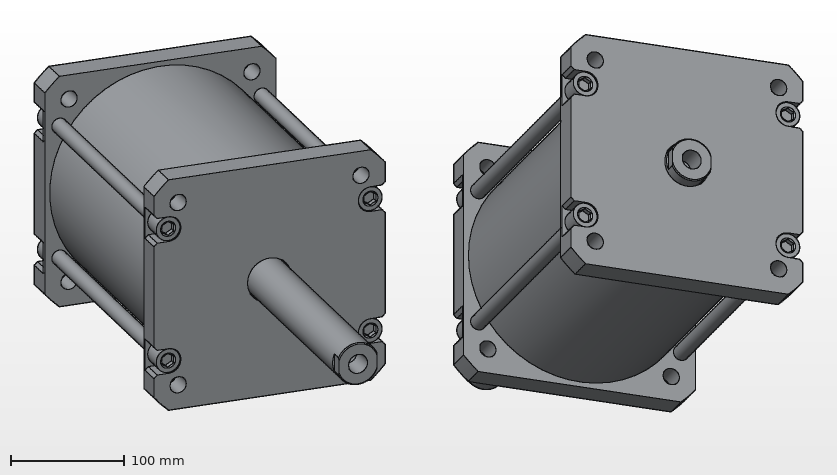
import cadquery as cq
import math

shaft_length = 511.5
left_plate_start = 12.0
left_plate_thickness = 25.5
body_length = 237.5
right_plate_thickness = 24.5
left_plate_end = left_plate_start + left_plate_thickness
right_plate_start = left_plate_end + body_length
right_plate_end = right_plate_start + right_plate_thickness

body_diameter = 210.5
plate_size = 220.0
plate_flat_half = 96.0
plate_turned_diameter = 2 * math.hypot(plate_size / 2, plate_flat_half)
mount_hole_diameter = 15.5
mount_hole_offset = 87.0

rod_diameter = 14.5
rod_y = 96.0
rod_z = 63.0
head_diameter = 22.5
slot_depth = 21.5
head_recess = 1.0
socket_across_flats = 11.0
socket_rim_diameter = 14.5
socket_rim_depth = 1.0
socket_depth = 6.0
slot_width = 23.5
slot_mouth_chamfer = 3.0

shaft_diameter = 40.0
shaft_chamfer = 1.0
plate_bore_diameter = 42.0
flat_spacing = 36.5
short_flat_length = 10.0
long_flat_length = 10.5
end_hole_diameter = 18.0
end_hole_depth = 25.5
drill_point_angle = 118.0

rod_centers = [(y, z) for y in (-rod_y, rod_y) for z in (-rod_z, rod_z)]
mount_centers = [(y, z) for y in (-mount_hole_offset, mount_hole_offset)
                 for z in (-mount_hole_offset, mount_hole_offset)]


def section_at(x):
    """Workplane across the shaft axis: local x is +Y, local y is +Z, normal is +X."""
    return cq.Workplane("YZ", origin=(x, 0, 0))


def rod_slot(start, y, z):
    """Round-ended slot for a rod head, open to the nearest plate side with a chamfered mouth."""
    side = math.copysign(1, y)
    half = slot_width / 2
    edge = side * plate_size / 2
    throat = edge - side * slot_mouth_chamfer
    mouth_half = half + slot_mouth_chamfer
    return (
        section_at(start)
        .moveTo(y, z + half)
        .lineTo(throat, z + half)
        .lineTo(edge, z + mouth_half)
        .lineTo(edge, z - mouth_half)
        .lineTo(throat, z - half)
        .lineTo(y, z - half)
        .threePointArc((y - side * half, z), (y, z + half))
        .close()
        .extrude(slot_depth)
    )


def make_plate(start, thickness, slot_start):
    """Square end plate with turned corners, rod slots, mounting holes and a shaft bore."""
    plate = section_at(start).rect(plate_size, plate_size).extrude(thickness)
    plate = plate.intersect(section_at(start).circle(plate_turned_diameter / 2).extrude(thickness))
    for holes, diameter in (
        (mount_centers, mount_hole_diameter),
        (rod_centers, rod_diameter),
        ([(0, 0)], plate_bore_diameter),
    ):
        plate = plate.cut(section_at(start).pushPoints(holes).circle(diameter / 2).extrude(thickness))
    for y, z in rod_centers:
        plate = plate.cut(rod_slot(slot_start, y, z))
    return plate


def make_body():
    """Cylinder between the plates, bored for the shaft."""
    return (
        section_at(left_plate_end)
        .circle(body_diameter / 2)
        .circle(shaft_diameter / 2)
        .extrude(body_length)
    )


def make_tie_rod(y, z):
    """Rod through both plates with a hex-socket head sunk into the slot at each end."""
    rod_start = left_plate_start + head_recess
    rod_end = right_plate_end - head_recess
    head_length = slot_depth - head_recess
    center = [(y, z)]
    rod = section_at(rod_start).pushPoints(center).circle(rod_diameter / 2).extrude(rod_end - rod_start)
    for end, inward in ((rod_start, 1), (rod_end, -1)):
        face = section_at(end).pushPoints(center)
        head = face.circle(head_diameter / 2).extrude(inward * head_length)
        socket = face.polygon(6, socket_across_flats, circumscribed=True).extrude(inward * socket_depth)
        countersink = cq.Solid.makeCone(
            socket_rim_diameter / 2,
            socket_across_flats / 2,
            socket_rim_depth,
            cq.Vector(end, y, z),
            cq.Vector(inward, 0, 0),
        )
        rod = rod.union(head).cut(socket).cut(countersink)
    return rod


def end_hole():
    """Blind drilled hole with a conical bottom, entering the shaft at X = 0."""
    radius = end_hole_diameter / 2
    point_depth = radius / math.tan(math.radians(drill_point_angle / 2))
    return (
        cq.Workplane("XY")
        .polyline([(0, 0), (end_hole_depth + point_depth, 0), (end_hole_depth, radius), (0, radius)])
        .close()
        .revolve(360, (0, 0, 0), (1, 0, 0))
    )


def flats_cutter(start, length):
    """Two blocks that leave a pair of flats facing -Y and +Y on the shaft."""
    return (
        section_at(start)
        .pushPoints([(-flat_spacing, 0), (flat_spacing, 0)])
        .rect(flat_spacing, shaft_diameter)
        .extrude(length)
    )


def make_shaft():
    """Through shaft, chamfered, flatted and drilled at both ends."""
    left_hole = end_hole()
    right_hole = left_hole.mirror("YZ").translate((shaft_length, 0, 0))
    return (
        section_at(0)
        .circle(shaft_diameter / 2)
        .extrude(shaft_length)
        .faces("<X or >X")
        .chamfer(shaft_chamfer)
        .cut(flats_cutter(0, short_flat_length))
        .cut(flats_cutter(shaft_length - long_flat_length, long_flat_length))
        .cut(left_hole)
        .cut(right_hole)
    )


left_plate = make_plate(left_plate_start, left_plate_thickness, left_plate_start)
right_plate = make_plate(right_plate_start, right_plate_thickness, right_plate_end - slot_depth)
body = make_body()
shaft = make_shaft()
tie_rods = [make_tie_rod(y, z) for y, z in rod_centers]

result = cq.Compound.makeCompound(
    [left_plate.val(), right_plate.val(), body.val(), shaft.val(), *[rod.val() for rod in tie_rods]]
)